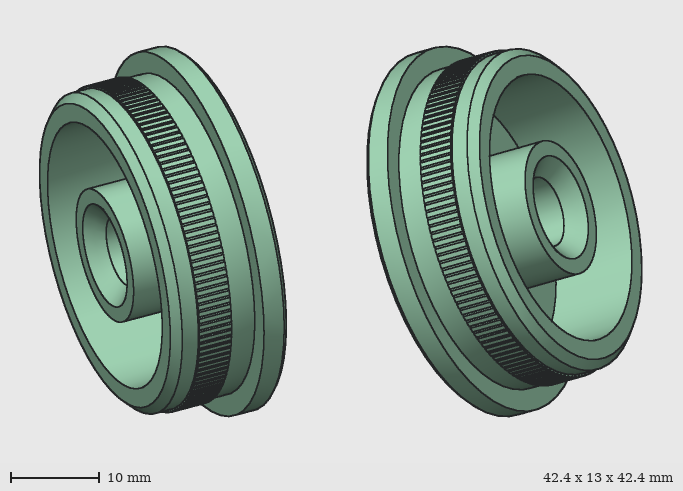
import cadquery as cq
import math

total_length = 13.0
rim_y = -total_length / 2
back_y = total_length / 2

flange_diameter = 42.4
flange_thickness = 3.0
flange_chamfer = 0.5

plug_diameter = 37.4
plug_chamfer = 1.0

pocket_diameter = 31.0
floor_thickness = flange_thickness
floor_y = back_y - floor_thickness

boss_diameter = 15.5
bore_diameter = 8.0
countersink_diameter = 12.0
countersink_depth = (countersink_diameter - bore_diameter) / 2

knurl_diameter = 38.0
knurl_length = 4.0
knurl_rim_distance = 3.0
groove_count = 140
groove_radius = 0.13


def cylinder(diameter, start_y, end_y):
    """Solid cylinder about the Y axis between two stations."""
    return cq.Workplane("XZ", origin=(0, end_y, 0)).circle(diameter / 2).extrude(end_y - start_y)


def make_body():
    """Plug and flange, both chamfered on their outer ends."""
    plug = cylinder(plug_diameter, rim_y, floor_y).faces("<Y").chamfer(plug_chamfer)
    flange = cylinder(flange_diameter, back_y - flange_thickness, back_y)
    return plug.union(flange.faces(">Y").chamfer(flange_chamfer))


def point_on_circle(radius, angle):
    return (radius * math.cos(angle), radius * math.sin(angle))


def make_knurl():
    """Disc whose edge carries evenly spaced half-round grooves, the first one at +Z."""
    radius = knurl_diameter / 2
    pitch_angle = 2 * math.pi / groove_count
    half_groove_angle = groove_radius / radius
    first_angle = math.pi / 2
    end_y = rim_y + knurl_rim_distance + knurl_length

    outline = cq.Workplane("XZ", origin=(0, end_y, 0))
    outline = outline.moveTo(*point_on_circle(radius, first_angle - half_groove_angle))
    for index in range(groove_count):
        groove_angle = first_angle + index * pitch_angle
        land_angle = groove_angle + pitch_angle / 2
        next_groove_angle = groove_angle + pitch_angle
        outline = outline.threePointArc(
            point_on_circle(radius - groove_radius, groove_angle),
            point_on_circle(radius, groove_angle + half_groove_angle),
        )
        outline = outline.threePointArc(
            point_on_circle(radius, land_angle),
            point_on_circle(radius, next_groove_angle - half_groove_angle),
        )
    return outline.close().extrude(knurl_length)


def make_pocket():
    """Annular recess left around the central boss."""
    return cylinder(pocket_diameter, rim_y, floor_y).cut(cylinder(boss_diameter, rim_y, floor_y))


def make_bore():
    """Through hole with a countersink in the end of the boss."""
    profile = [
        (0, rim_y),
        (countersink_diameter / 2, rim_y),
        (bore_diameter / 2, rim_y + countersink_depth),
        (bore_diameter / 2, back_y),
        (0, back_y),
    ]
    return cq.Workplane("XY").polyline(profile).close().revolve(360, (0, 0, 0), (0, 1, 0))


result = make_body().union(make_knurl()).cut(make_pocket()).cut(make_bore())